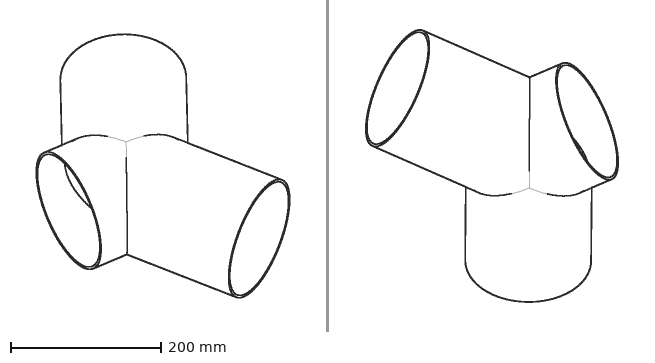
import cadquery as cq
import math

overall_width = 436.0
overall_depth = 263.5
outer_diameter = 168.5
inner_diameter = 161.5
branch_rise = 30.0

outer_radius = outer_diameter / 2
rise = math.radians(branch_rise)
branch_length = (overall_width / 2 - outer_radius * math.sin(rise)) / math.cos(rise)
branch_reach = branch_length * math.sin(rise) + outer_radius * math.cos(rise)
stem_length = overall_depth - branch_reach

legs = [
    (branch_rise, branch_length),
    (180 - branch_rise, branch_length),
    (-90, stem_length),
]


def joined_cylinders(diameter):
    """Three solid cylinders running outward from the common junction."""
    body = cq.Workplane("XY")
    for angle, length in legs:
        direction = cq.Vector(math.cos(math.radians(angle)), math.sin(math.radians(angle)), 0)
        leg = cq.Solid.makeCylinder(diameter / 2, length, cq.Vector(0, 0, 0), direction)
        body = body.union(cq.Workplane(obj=leg))
    return body


result = joined_cylinders(outer_diameter).cut(joined_cylinders(inner_diameter))